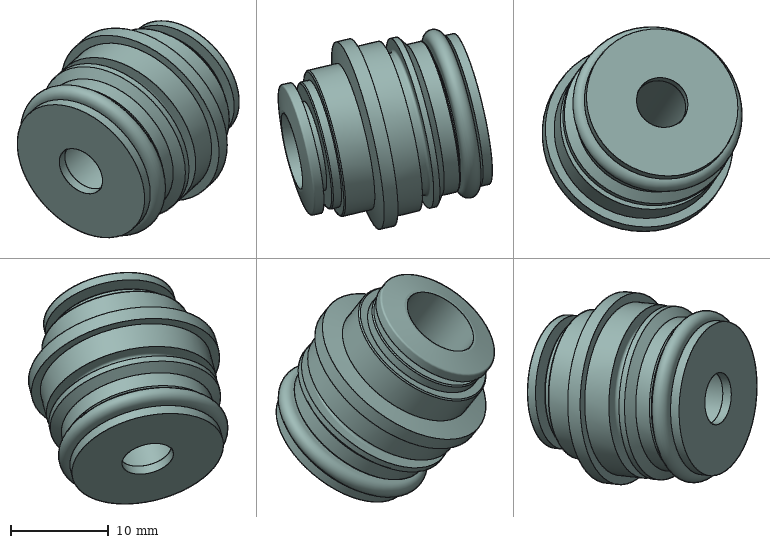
import cadquery as cq
import math

bore_diameter = 5.4
socket_diameter = 8.0
ring_land_diameter = 15.9
ring_groove_diameter = 13.0
body_diameter = 17.9
body_groove_diameter = 15.0
flange_diameter = 19.75
shoulder_diameter = 15.4
collar_diameter = 13.4
neck_diameter = 9.4
head_diameter = 13.77
head_face_diameter = 8.6

socket_start = 1.0
ring_groove_start = 1.0
ring_groove_end = 3.38
cone_start = 5.14
cone_end = 5.89
body_groove_start = 6.54
body_groove_end = 7.75
flange_start = 10.6
shoulder_end = 15.72
collar_end = 16.73
head_start = 17.64
overall_length = 19.1

face_slope = math.tan(math.radians(10))
flange_cone_end = 12.46
flange_rim_end = flange_cone_end - face_slope * (flange_diameter - shoulder_diameter) / 2
head_rim_end = overall_length - face_slope * (head_diameter - head_face_diameter) / 2

edge_chamfer = 0.14
groove_fillet = 0.28
neck_fillet = 0.4
head_rim_fillet = 0.2

ring_outer_diameter = 17.74
ring_width = 1.78
ring_position = 2.15


def edges_at(diameter, position):
    """Select the circular edge with this diameter and axial position."""
    margin = 0.002
    reach = diameter / 2 + margin
    inner = diameter / 2 - margin
    outside = cq.selectors.BoxSelector(
        (-reach, position - margin, -reach), (reach, position + margin, reach), boundingbox=True
    )
    inside = cq.selectors.BoxSelector(
        (-inner, position - margin, -inner), (inner, position + margin, inner), boundingbox=True
    )
    return outside - inside


def make_body():
    """Revolve the stepped half-profile, including the bore and tube socket, about Y."""
    profile = [
        (bore_diameter, 0),
        (ring_land_diameter, 0),
        (ring_land_diameter, ring_groove_start),
        (ring_groove_diameter, ring_groove_start),
        (ring_groove_diameter, ring_groove_end),
        (ring_land_diameter, ring_groove_end),
        (ring_land_diameter, cone_start),
        (body_diameter, cone_end),
        (body_diameter, body_groove_start),
        (body_groove_diameter, body_groove_start),
        (body_groove_diameter, body_groove_end),
        (body_diameter, body_groove_end),
        (body_diameter, flange_start),
        (flange_diameter, flange_start),
        (flange_diameter, flange_rim_end),
        (shoulder_diameter, flange_cone_end),
        (shoulder_diameter, shoulder_end),
        (collar_diameter, shoulder_end),
        (collar_diameter, collar_end),
        (neck_diameter, collar_end),
        (neck_diameter, head_start),
        (head_diameter, head_start),
        (head_diameter, head_rim_end),
        (head_face_diameter, overall_length),
        (socket_diameter, overall_length),
        (socket_diameter, socket_start),
        (bore_diameter, socket_start),
    ]
    points = [(diameter / 2, position) for diameter, position in profile]
    return cq.Workplane("XY").polyline(points).close().revolve(360, (0, 0, 0), (0, 1, 0))


def finish_edges(body):
    """Break the outer step edges and round the groove corners and head rim."""
    chamfered_edges = [
        (ring_land_diameter, ring_groove_end),
        (shoulder_diameter, shoulder_end),
        (collar_diameter, collar_end),
    ]
    for diameter, position in chamfered_edges:
        body = body.edges(edges_at(diameter, position)).chamfer(edge_chamfer)

    rounded_edges = [
        (ring_groove_diameter, ring_groove_start, groove_fillet),
        (ring_groove_diameter, ring_groove_end, groove_fillet),
        (body_groove_diameter, body_groove_start, groove_fillet),
        (body_groove_diameter, body_groove_end, groove_fillet),
        (neck_diameter, head_start, neck_fillet),
        (head_diameter, head_rim_end, head_rim_fillet),
    ]
    for diameter, position, radius in rounded_edges:
        body = body.edges(edges_at(diameter, position)).fillet(radius)
    return body


def make_ring():
    """Revolve the round-crowned ring section, reaching down to the groove floor, about Y."""
    crown_radius = ring_width / 2
    outer_radius = ring_outer_diameter / 2
    groove_radius = ring_groove_diameter / 2
    lower = ring_position - crown_radius
    upper = ring_position + crown_radius
    return (
        cq.Workplane("XY")
        .moveTo(groove_radius, lower)
        .lineTo(outer_radius - crown_radius, lower)
        .threePointArc((outer_radius, ring_position), (outer_radius - crown_radius, upper))
        .lineTo(groove_radius, upper)
        .close()
        .revolve(360, (0, 0, 0), (0, 1, 0))
    )


result = finish_edges(make_body()).union(make_ring())